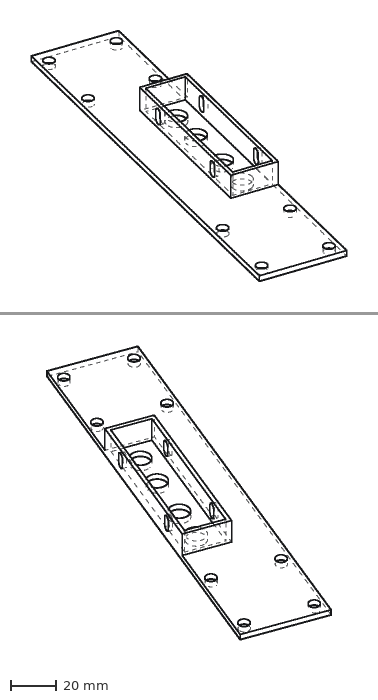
import cadquery as cq

plate_length = 210.0
plate_width = 44.0
plate_thickness = 3.0

box_length = 84.0
box_width = 24.0
box_height = 12.0
wall = 2.0
box_center_y = (plate_width - box_width) / 2

mount_diameter = 5.5
mount_inner_pitch = 124.0
mount_end_spacing = 36.0
mount_edge_margin = 5.0
mount_outer_pitch = mount_inner_pitch + 2 * mount_end_spacing
mount_pitch_y = plate_width - 2 * mount_edge_margin

floor_hole_diameter = 10.0
floor_inner_pitch = 24.2
floor_pair_spacing = 18.0
floor_outer_pitch = floor_inner_pitch + 2 * floor_pair_spacing

slot_length = 8.0
slot_width = 4.0
slot_pitch = 50.0
slot_center_z = plate_thickness + box_height / 2


def make_plate():
    return cq.Workplane("XY").box(
        plate_length, plate_width, plate_thickness, centered=(True, True, False)
    )


def make_box_walls():
    return (
        cq.Workplane("XY", origin=(0, box_center_y, plate_thickness))
        .rect(box_length, box_width)
        .rect(box_length - 2 * wall, box_width - 2 * wall)
        .extrude(box_height)
    )


def make_plate_holes(diameter, center_y, pitches_x, pitch_y=0.0):
    """Cutters through the plate, mirrored about the plate middle."""
    points = {
        (side_x * pitch_x / 2, side_y * pitch_y / 2)
        for pitch_x in pitches_x
        for side_x in (-1, 1)
        for side_y in (-1, 1)
    }
    return (
        cq.Workplane("XY", origin=(0, center_y, 0))
        .pushPoints(sorted(points))
        .circle(diameter / 2)
        .extrude(plate_thickness)
    )


def make_wall_slots():
    return (
        cq.Workplane("XZ", origin=(0, box_center_y, slot_center_z))
        .pushPoints([(-slot_pitch / 2, 0), (slot_pitch / 2, 0)])
        .slot2D(slot_length, slot_width, 90)
        .extrude(box_width / 2, both=True)
    )


mount_holes = make_plate_holes(
    mount_diameter, 0, (mount_inner_pitch, mount_outer_pitch), mount_pitch_y
)
floor_holes = make_plate_holes(
    floor_hole_diameter, box_center_y, (floor_inner_pitch, floor_outer_pitch)
)

result = (
    make_plate()
    .union(make_box_walls())
    .cut(mount_holes)
    .cut(floor_holes)
    .cut(make_wall_slots())
)